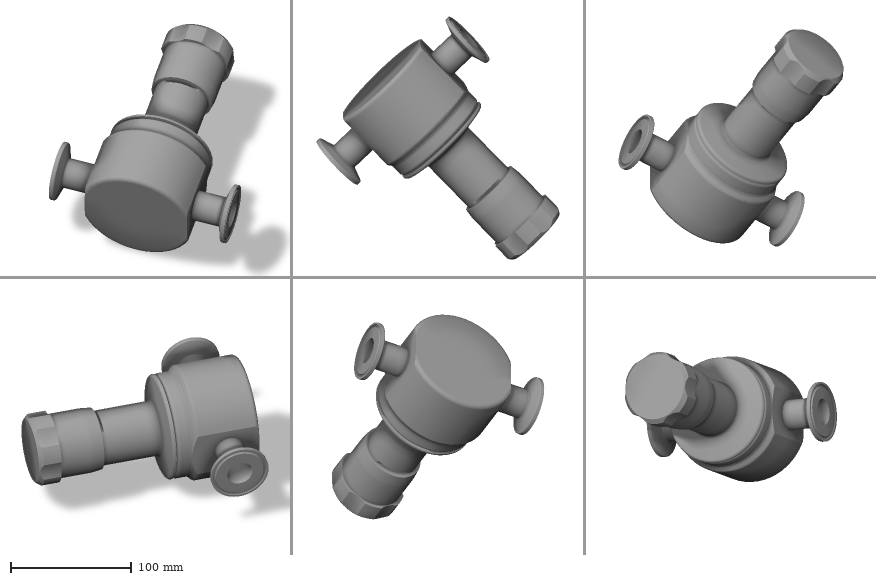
import cadquery as cq
import math


body_radius = 97.8 / 2
body_front_round = 3.5
flange_radius = 44.5
shoulder_start = 53.0
shoulder_rise = body_radius - flange_radius
shoulder_end = shoulder_start + shoulder_rise
shoulder_round = 2.6
cap_end = 70.3
cap_round = 3.0
flat_offset = flange_radius

gap_width = 1.1
gap_floor_radius = 36.2

bonnet_start = cap_end + gap_width
bonnet_slope = math.radians(12)
bonnet_rim = 2.8
bonnet_round = 2.6
neck_radius = 23.2
wrench_offset = 17.5
wrench_width = 3.0

skirt_start = 128.8
skirt_length = 11.1
skirt_radius = 26.2
barrel_radius = 27.3
knob_start = 166.6
knob_end = 185.5
knob_radius = 30.5
knob_chamfer_width = 3.3
knob_chamfer_height = 3.7
scallop_count = 6
scallop_first_angle = 27.0
scallop_floor = 27.8
scallop_half_angle = math.radians(15.6)

port_axis_y = 25.8
port_end = 152.4 / 2
port_radius = 12.6
bore_radius = 11.0
ferrule_radius = 24.9
ferrule_rim = 3.5
ferrule_slope = math.radians(20)
ferrule_neck_round = 1.3
ferrule_rim_round = 1.0
gasket_radius = 21.9
gasket_groove_radius = 1.3


def rounded_outline(corners):
    """Closed outline through (radius, position along Y, rounding) corners."""
    outline = None
    count = len(corners)
    for i, (x, y, rounding) in enumerate(corners):
        corner = cq.Vector(x, y, 0)
        if rounding == 0:
            entry = leave = corner
        else:
            before = cq.Vector(*corners[i - 1][:2], 0)
            after = cq.Vector(*corners[(i + 1) % count][:2], 0)
            to_before = (before - corner).normalized()
            to_after = (after - corner).normalized()
            half_angle = to_before.getAngle(to_after) / 2
            setback = rounding / math.tan(half_angle)
            entry = corner + to_before * setback
            leave = corner + to_after * setback
            bisector = (to_before + to_after).normalized()
            middle = corner + bisector * (rounding / math.sin(half_angle) - rounding)
        if outline is None:
            outline = cq.Workplane("XY").moveTo(entry.x, entry.y)
        else:
            outline = outline.lineTo(entry.x, entry.y)
        if rounding > 0:
            outline = outline.threePointArc((middle.x, middle.y), (leave.x, leave.y))
    return outline.close()


def turned(corners):
    """Solid of revolution about the Y axis."""
    return rounded_outline(corners).revolve(360, (0, 0, 0), (0, 1, 0))


def cylinder_y(radius, start, end):
    return turned([(0, start, 0), (radius, start, 0), (radius, end, 0), (0, end, 0)])


def make_body():
    body = turned([
        (0, 0, 0),
        (body_radius, 0, body_front_round),
        (body_radius, shoulder_start, shoulder_round),
        (flange_radius, shoulder_end, shoulder_round),
        (flange_radius, cap_end, cap_round),
        (0, cap_end, 0),
    ])
    between_flats = cq.Workplane("XY").box(2 * flat_offset, 2 * cap_end, 2 * body_radius)
    return body.intersect(between_flats)


def make_bonnet():
    cone_start = bonnet_start + bonnet_rim
    cone_end = cone_start + (flange_radius - neck_radius) * math.tan(bonnet_slope)
    bonnet = turned([
        (0, bonnet_start, 0),
        (flange_radius, bonnet_start, 0),
        (flange_radius, cone_start, bonnet_round),
        (neck_radius, cone_end, bonnet_round),
        (neck_radius, skirt_start, 0),
        (0, skirt_start, 0),
    ])
    flat_depth = neck_radius - wrench_offset
    for side in (-1, 1):
        notch = cq.Workplane("XY").box(2 * neck_radius, wrench_width, flat_depth)
        notch_y = skirt_start - wrench_width / 2
        notch_z = side * (wrench_offset + flat_depth / 2)
        bonnet = bonnet.cut(notch.translate((0, notch_y, notch_z)))
    return bonnet


def make_barrel():
    skirt_end = skirt_start + skirt_length
    taper = barrel_radius - skirt_radius
    arc_radius = (skirt_length**2 + taper**2) / (2 * taper)
    half_turn = math.asin(skirt_length / arc_radius) / 2
    arc_middle = (
        barrel_radius - arc_radius * (1 - math.cos(half_turn)),
        skirt_end - arc_radius * math.sin(half_turn),
    )
    return (
        cq.Workplane("XY")
        .moveTo(0, skirt_start)
        .lineTo(skirt_radius, skirt_start)
        .threePointArc(arc_middle, (barrel_radius, skirt_end))
        .lineTo(barrel_radius, knob_start)
        .lineTo(0, knob_start)
        .close()
        .revolve(360, (0, 0, 0), (0, 1, 0))
    )


def make_knob():
    knob = turned([
        (0, knob_start, 0),
        (knob_radius, knob_start, 0),
        (knob_radius, knob_end - knob_chamfer_height, 0),
        (knob_radius - knob_chamfer_width, knob_end, 0),
        (0, knob_end, 0),
    ])
    half_chord = knob_radius * math.sin(scallop_half_angle)
    depth = knob_radius * math.cos(scallop_half_angle) - scallop_floor
    cutter_radius = (half_chord**2 + depth**2) / (2 * depth)
    cutter = cylinder_y(cutter_radius, knob_start, knob_end)
    cutter = cutter.translate((0, 0, scallop_floor + cutter_radius))
    for i in range(scallop_count):
        angle = scallop_first_angle + i * 360 / scallop_count
        knob = knob.cut(cutter.rotate((0, 0, 0), (0, 1, 0), angle))
    return knob


def make_port():
    """Clamp ferrule and tube turned about Y, from the body flat out to the ferrule face."""
    rim_back = port_end - ferrule_rim
    cone_length = (ferrule_radius - port_radius) * math.tan(ferrule_slope)
    port = turned([
        (bore_radius, flat_offset, 0),
        (port_radius, flat_offset, 0),
        (port_radius, rim_back - cone_length, ferrule_neck_round),
        (ferrule_radius, rim_back, ferrule_rim_round),
        (ferrule_radius, port_end, 0),
        (bore_radius, port_end, 0),
    ])
    groove = (
        cq.Workplane("XY")
        .center(gasket_radius, port_end)
        .circle(gasket_groove_radius)
        .revolve(360, (-gasket_radius, 0, 0), (-gasket_radius, 1, 0))
    )
    return port.cut(groove)


gap_floor = cylinder_y(gap_floor_radius, cap_end, bonnet_start)
result = make_body().union(gap_floor).union(make_bonnet()).union(make_barrel()).union(make_knob())

port = make_port()
for turn in (-90, 90):
    result = result.union(port.rotate((0, 0, 0), (0, 0, 1), turn).translate((0, port_axis_y, 0)))